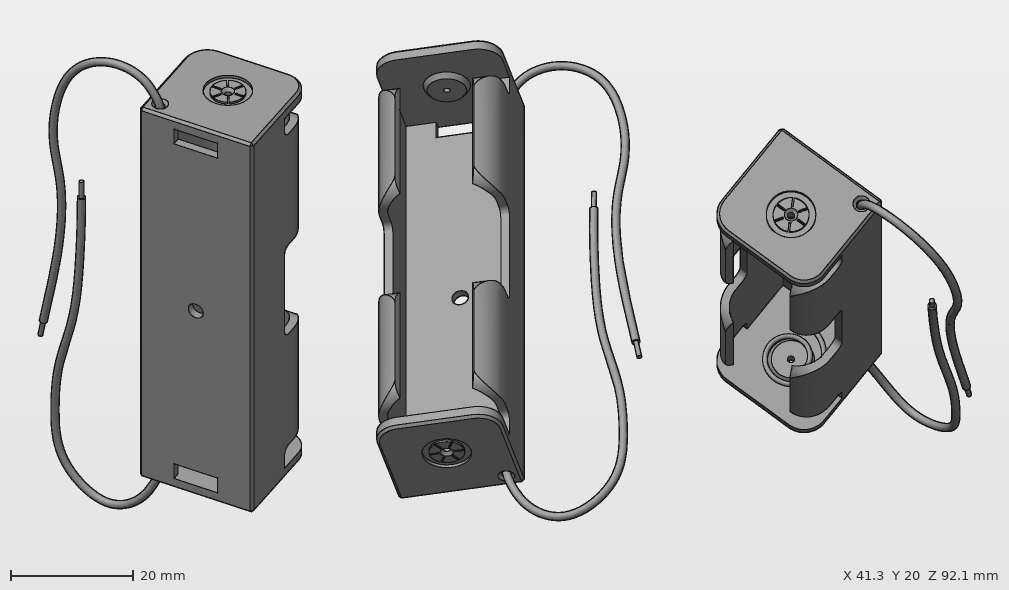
import cadquery as cq
import math


WIDTH = 21.1
DEPTH = 20.0
LENGTH = 75.9
WALL = 1.5
END_WALL = 2.0
EDGE_CHAMFER = 0.5
END_CORNER_RADIUS = 4.1
INNER_LENGTH = LENGTH - 2 * END_WALL

WING_BEND_RADIUS = 6.3
WING_BEND_HEIGHT = 5.8
WING_LENGTH = 22.8
WING_CORNER_RADIUS = 3.7
WING_ROOT_RADIUS = 1.4
END_GAP = 4.0
RAIL_HEIGHT = 11.0
CELL_AXIS_Y = RAIL_HEIGHT

FLOOR_SLOT_WIDTH = 8.1
FLOOR_SLOT_LENGTH = 3.0
FLOOR_HOLE_DIAMETER = 2.8
WIRE_HOLE_RADIUS = 0.8
WIRE_HOLE_CHAMFER = 0.55
WIRE_HOLE_X = -8.0
WIRE_HOLE_Y = 2.6

RECESS_RADIUS = 4.05
RECESS_DEPTH = 0.55
HEAD_RADIUS = 2.9
HEAD_THICKNESS = 0.4
SHANK_RADIUS = 1.4
BORE_RADIUS = 0.55
BORE_CHAMFER = 0.55
PETAL_COUNT = 6
PETAL_GAP = 0.3
CONTACT_RADIUS = 3.9
CONTACT_TIP_RADIUS = 3.2
CONTACT_HEIGHT = 0.9

SPRING_WIRE_RADIUS = 0.41
SPRING_START_RADIUS = 2.85
SPRING_END_RADIUS = 5.7
SPRING_RISE = 1.4
SPRING_TURNS = 1.25
SPRING_START_ANGLE = math.pi
SPRING_POINTS = 16

INSULATION_RADIUS = 0.69
STRAND_RADIUS = 0.41
STRAND_LENGTH = 3.1

HALF_LENGTH = LENGTH / 2
HALF_INNER = INNER_LENGTH / 2
HALF_WIDTH = WIDTH / 2

UPPER_WIRE_PATH = [
    (-8.0, 2.6, 37.0),
    (-8.8, 2.6, 39.1),
    (-11.0, 2.8, 41.5),
    (-16.2, 2.9, 42.9),
    (-23.2, 2.9, 39.8),
    (-27.4, 2.85, 30.8),
    (-27.9, 2.8, 22.55),
    (-26.8, 2.8, 15.65),
    (-26.5, 2.8, 7.4),
    (-28.4, 2.8, -7.4),
    (-29.8, 2.8, -14.7),
]
LOWER_WIRE_PATH = [
    (-8.0, 2.6, -37.0),
    (-8.65, 2.5, -39.4),
    (-11.2, 2.2, -43.9),
    (-18.0, 2.8, -47.8),
    (-25.8, 2.85, -42.4),
    (-27.7, 2.85, -32.6),
    (-26.7, 2.4, -22.4),
    (-24.2, 2.1, -12.4),
    (-22.8, 2.2, 0.0),
    (-22.7, 2.8, 13.25),
]


def make_channel():
    """Floor, side walls and inward-bent wings, as one constant section along Z."""
    bend_x = HALF_WIDTH - WING_BEND_RADIUS
    bend_y = DEPTH - WING_BEND_HEIGHT
    inner_x = HALF_WIDTH - WALL
    inner_radius = WING_BEND_RADIUS - WALL
    lip_angle = math.asin(WING_BEND_HEIGHT / WING_BEND_RADIUS)

    def bend_point(side, radius, angle):
        return (side * (bend_x + radius * math.cos(angle)), bend_y + radius * math.sin(angle))

    def outer_point(side, angle):
        return bend_point(side, WING_BEND_RADIUS, angle)

    def inner_point(side, angle):
        return bend_point(side, inner_radius, angle)

    return (
        cq.Workplane("XY")
        .workplane(offset=-HALF_INNER)
        .moveTo(-HALF_WIDTH, 0)
        .lineTo(HALF_WIDTH, 0)
        .lineTo(HALF_WIDTH, bend_y)
        .threePointArc(outer_point(1, lip_angle / 2), outer_point(1, lip_angle))
        .lineTo(*inner_point(1, lip_angle))
        .threePointArc(inner_point(1, lip_angle / 2), (inner_x, bend_y))
        .lineTo(inner_x, WALL)
        .lineTo(-inner_x, WALL)
        .lineTo(-inner_x, bend_y)
        .threePointArc(inner_point(-1, lip_angle / 2), inner_point(-1, lip_angle))
        .lineTo(*outer_point(-1, lip_angle))
        .threePointArc(outer_point(-1, lip_angle / 2), (-HALF_WIDTH, bend_y))
        .close()
        .extrude(INNER_LENGTH)
    )


def side_blank(y_start, y_end, z_start, z_end):
    """Block as wide as the housing, between the given Y and Z limits."""
    return cq.Workplane("XY").box(WIDTH, y_end - y_start, z_end - z_start).translate(
        (0, (y_start + y_end) / 2, (z_start + z_end) / 2)
    )


def make_wing_envelope():
    """Side shape kept from the channel: full-length rails carrying two rounded wings."""
    envelope = side_blank(0, RAIL_HEIGHT, -HALF_INNER, HALF_INNER)
    outer_z = HALF_INNER - END_GAP
    inner_z = outer_z - WING_LENGTH
    for side in (1, -1):
        z_low, z_high = sorted((side * inner_z, side * outer_z))
        wing = side_blank(0, DEPTH, z_low, z_high).edges("|X and >Y").fillet(WING_CORNER_RADIUS)
        envelope = envelope.union(wing)
    roots = cq.selectors.BoxSelector(
        (-WIDTH, RAIL_HEIGHT - 0.1, -outer_z - 0.1),
        (WIDTH, RAIL_HEIGHT + 0.1, outer_z + 0.1),
    )
    return envelope.edges("|X").edges(roots).fillet(WING_ROOT_RADIUS)


def make_end_walls():
    """Both end plates, with the two corners on the open side rounded."""
    plate = (
        cq.Workplane("XY")
        .workplane(offset=HALF_INNER)
        .center(0, DEPTH / 2)
        .rect(WIDTH, DEPTH)
        .extrude(END_WALL)
        .edges("|Z and >Y")
        .fillet(END_CORNER_RADIUS)
    )
    return plate.union(plate.mirror("XY"))


def end_cylinders(x, y, radius, depth):
    """Cylinders sunk into both end walls to the given depth."""
    cylinder = (
        cq.Workplane("XY")
        .workplane(offset=HALF_LENGTH - depth)
        .center(x, y)
        .circle(radius)
        .extrude(depth)
    )
    return cylinder.union(cylinder.mirror("XY"))


def make_housing():
    body = make_channel().intersect(make_wing_envelope()).union(make_end_walls())
    body = body.faces("<Y or <Z or >Z").edges().chamfer(EDGE_CHAMFER)

    slot_z = HALF_INNER - FLOOR_SLOT_LENGTH / 2
    for z in (slot_z, -slot_z):
        slot = cq.Workplane("XY").box(FLOOR_SLOT_WIDTH, 2 * WALL, FLOOR_SLOT_LENGTH)
        body = body.cut(slot.translate((0, WALL / 2, z)))
    screw_hole = cq.Workplane("XZ").circle(FLOOR_HOLE_DIAMETER / 2).extrude(-2 * WALL)
    body = body.cut(screw_hole)

    body = body.cut(end_cylinders(WIRE_HOLE_X, WIRE_HOLE_Y, WIRE_HOLE_RADIUS, END_WALL))
    rims = body.edges("%CIRCLE").edges(cq.selectors.RadiusNthSelector(0))
    body = rims.edges("<Z or >Z").chamfer(WIRE_HOLE_CHAMFER)
    body = body.cut(end_cylinders(0, CELL_AXIS_Y, SHANK_RADIUS, END_WALL))
    return body.cut(end_cylinders(0, CELL_AXIS_Y, RECESS_RADIUS, RECESS_DEPTH))


def make_terminal(end):
    """Hollow rivet at one end (+1 upper, -1 lower) with its head split into petals."""
    seat_z = HALF_LENGTH - RECESS_DEPTH
    head_z = seat_z + HEAD_THICKNESS
    contact_z = HALF_INNER - CONTACT_HEIGHT
    terminal = (
        cq.Workplane("XZ")
        .moveTo(BORE_RADIUS, contact_z)
        .lineTo(CONTACT_TIP_RADIUS, contact_z)
        .lineTo(CONTACT_RADIUS, HALF_INNER)
        .lineTo(SHANK_RADIUS, HALF_INNER)
        .lineTo(SHANK_RADIUS, seat_z)
        .lineTo(HEAD_RADIUS, seat_z)
        .lineTo(HEAD_RADIUS, head_z)
        .lineTo(BORE_RADIUS + BORE_CHAMFER, head_z)
        .lineTo(BORE_RADIUS, head_z - BORE_CHAMFER)
        .close()
        .revolve(360, (0, 0, 0), (0, 1, 0))
    )
    gap_length = HEAD_RADIUS - SHANK_RADIUS
    for i in range(PETAL_COUNT):
        gap = (
            cq.Workplane("XY")
            .box(2 * gap_length, PETAL_GAP, HEAD_THICKNESS)
            .translate((SHANK_RADIUS + gap_length, 0, seat_z + HEAD_THICKNESS / 2))
            .rotate((0, 0, 0), (0, 0, 1), i * 360 / PETAL_COUNT)
        )
        terminal = terminal.cut(gap)
    if end < 0:
        terminal = terminal.mirror("XY")
    return terminal.translate((0, CELL_AXIS_Y, 0))


def spring_point(t):
    """Point on the coil's centre line, with t running from 0 to 1."""
    angle = SPRING_START_ANGLE + 2 * math.pi * SPRING_TURNS * t
    radius = SPRING_START_RADIUS + (SPRING_END_RADIUS - SPRING_START_RADIUS) * t
    start_z = -HALF_INNER + CONTACT_HEIGHT + SPRING_WIRE_RADIUS
    return (
        radius * math.cos(angle),
        CELL_AXIS_Y + radius * math.sin(angle),
        start_z + SPRING_RISE * t,
    )


def smooth_curve(points):
    """Spline edge through the points."""
    return cq.Edge.makeSpline([cq.Vector(*point) for point in points])


def sweep_rod(curve, radius):
    """Round rod along a curve."""
    plane = cq.Plane(origin=curve.startPoint(), normal=curve.tangentAt(0))
    return cq.Workplane(plane).circle(radius).sweep(cq.Workplane(cq.Wire.assembleEdges([curve])))


def make_spring():
    points = [spring_point(i / SPRING_POINTS) for i in range(SPRING_POINTS + 1)]
    return sweep_rod(smooth_curve(points), SPRING_WIRE_RADIUS)


def wire_curve(path, end):
    """Centre line of a wire from the inner face of an end wall (+1 upper, -1 lower)."""
    start = (WIRE_HOLE_X, WIRE_HOLE_Y, end * HALF_INNER)
    return smooth_curve([start] + path)


def make_strand(curve):
    """Bare wire end that carries straight on from the end of the insulation."""
    plane = cq.Plane(origin=curve.endPoint(), normal=curve.tangentAt(1))
    return cq.Workplane(plane).circle(STRAND_RADIUS).extrude(STRAND_LENGTH)


housing = make_housing()
terminals = [make_terminal(end) for end in (1, -1)]
spring = make_spring()
wire_curves = [wire_curve(UPPER_WIRE_PATH, 1), wire_curve(LOWER_WIRE_PATH, -1)]
insulations = [sweep_rod(curve, INSULATION_RADIUS) for curve in wire_curves]
strands = [make_strand(curve) for curve in wire_curves]

result = cq.Compound.makeCompound(
    [
        housing.val(),
        *[terminal.val() for terminal in terminals],
        spring.val(),
        *[insulation.val() for insulation in insulations],
        *[strand.val() for strand in strands],
    ]
)